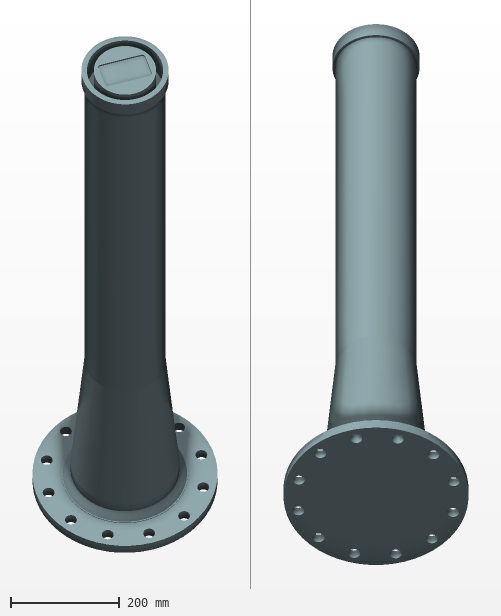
import cadquery as cq

total_height = 1206.0

flange_diameter = 340.0
flange_thickness = 20.0
bolt_hole_diameter = 22.0
bolt_circle_diameter = 294.0
bolt_count = 12

step_diameter = 233.0
step_height = 1.0
shoulder_diameter = 228.0
shoulder_top = 35.0
collar_diameter = 200.0
collar_top = 55.0

taper_top = 356.0
pipe_diameter = 150.0

cap_diameter = 160.0
cap_height = 30.0
groove_outer_diameter = 140.0
groove_inner_diameter = 115.0
groove_depth = 54.0
plate_width = 52.0
plate_length = 90.0
plate_corner_radius = 6.0
plate_depth = 4.0


def make_column():
    """Solid of revolution from the flange up to the cap."""
    flange_radius = flange_diameter / 2
    step_radius = step_diameter / 2
    step_top = flange_thickness + step_height
    shoulder_radius = shoulder_diameter / 2
    collar_radius = collar_diameter / 2
    pipe_radius = pipe_diameter / 2
    cap_radius = cap_diameter / 2
    cap_bottom = total_height - cap_height
    half_profile = (
        cq.Workplane("XZ")
        .moveTo(0, 0)
        .lineTo(flange_radius, 0)
        .lineTo(flange_radius, flange_thickness)
        .lineTo(step_radius, flange_thickness)
        .lineTo(step_radius, step_top)
        .lineTo(shoulder_radius, step_top)
        .lineTo(collar_radius, shoulder_top)
        .lineTo(collar_radius, collar_top)
        .lineTo(pipe_radius, taper_top)
        .lineTo(pipe_radius, cap_bottom)
        .lineTo(cap_radius, cap_bottom)
        .lineTo(cap_radius, total_height)
        .lineTo(0, total_height)
        .close()
    )
    return half_profile.revolve(360, (0, 0, 0), (0, 1, 0))


def make_bolt_holes():
    """Evenly spaced through holes, the first one on the X axis."""
    return (
        cq.Workplane("XY")
        .polarArray(bolt_circle_diameter / 2, 0, 360, bolt_count)
        .circle(bolt_hole_diameter / 2)
        .extrude(flange_thickness)
    )


def make_cap_groove():
    """Flat-bottomed ring groove sunk through the cap into the pipe end."""
    return (
        cq.Workplane("XY", origin=(0, 0, total_height - groove_depth))
        .circle(groove_outer_diameter / 2)
        .circle(groove_inner_diameter / 2)
        .extrude(groove_depth)
    )


def make_plate_recess():
    """Rounded rectangular recess in the middle of the cap."""
    return (
        cq.Workplane("XY", origin=(0, 0, total_height - plate_depth))
        .rect(plate_width, plate_length)
        .extrude(plate_depth)
        .edges("|Z")
        .fillet(plate_corner_radius)
    )


column = make_column()
bolted_column = column.cut(make_bolt_holes())
result = bolted_column.cut(make_cap_groove()).cut(make_plate_recess())